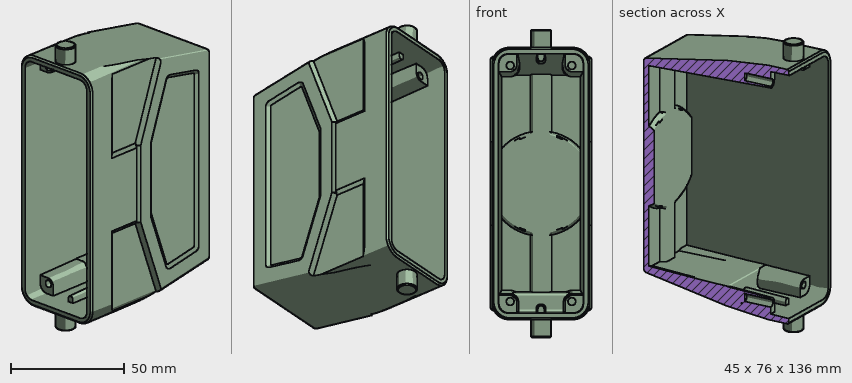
import cadquery as cq
import math


DEPTH = 76.0
HALF_HEIGHT = 60.1
BODY_HALF_WIDTH = 21.6
BODY_LENGTH = 54.4
CORNER_RADIUS = 7.8
MOUTH_CHAMFER = 0.8
SHOULDER_Y = 11.2
KINK_Y = 32.4
KINK_HALF_HEIGHT = 58.1
BACK_HALF_HEIGHT = 50.5

HOOD_HALF_WIDTH = 45.0 / 2
HOOD_FILLET = 1.9
HOOD_FRONT_Y = 30.7
HOOD_FRONT_HALF_HEIGHT = 18.5
HOOD_SLANT = 9.5 / 26.2
BORDER_WIDTH = 1.5

WINDOW_FRONT_Y = 12.9
WINDOW_LOW_Z = 17.5
WINDOW_FLOOR_X = 20.4
WINDOW_FLOOR_FLAT_Z = 55.2
WINDOW_FLOOR_RADIUS = 5.5
RECESS_WALL_ANGLE = 55
PANEL_DEPTH = 1.2
PANEL_CORNER_RADIUS = 2.6
PANEL_OUTLINE = [(68.1, 43.2), (47.7, 46.9), (37.1, 17.7)]

PIN_DIAMETER = 9.0
PIN_Y = 6.3
PIN_TIP_Z = 68.0
PIN_CHAMFER = 0.5

MOUTH_HALF_WIDTH = 18.8
MOUTH_HALF_HEIGHT = 57.3
CAVITY_CORNER_RADIUS = 4.2
SIDE_DRAFT = 1.1
FLOOR_Y = 73.0
LEDGE_Y = 31.3
LEDGE_FILLET = 1.8
UPPER_END_WALL = [(0, MOUTH_HALF_HEIGHT), (21.8, 56.8), (FLOOR_Y, 47.9)]
LOWER_END_WALL = [(0, -MOUTH_HALF_HEIGHT), (LEDGE_Y, -56.6), (LEDGE_Y, -48.4), (FLOOR_Y, -47.9)]

PLATEAU_HEIGHT = 2.7
DISC_RADIUS = 23.3
SPINE_HALF_WIDTH = 4.8
PLATEAU_DRAFT = 23
PLATEAU_FILLET = 0.7

INSERT_Y = 9.5
INSERT_DRAFT = 2.0
BOSS_INNER_X = 10.6
BOSS_INNER_Z = 49.4
BOSS_CORNER_RADIUS = 3.3
SCREW_X = 13.6
SCREW_Z = 52.1
SCREW_DIAMETER = 3.4
SCREW_DEPTH = 13.6
RIB_HALF_WIDTH = 1.4
RIB_TOP_Z = 54.0

MARGIN = 13.6
TOLERANCE = 0.01


def mirrored_outline(upper_points):
    """Close an outline of (Y, Z) points by reflecting them about Z = 0."""
    return upper_points + [(y, -z) for y, z in reversed(upper_points)]


def both_sides(solid):
    """Join a solid with its reflection in the plane X = 0."""
    return solid.union(solid.mirror("YZ"))


def at_depth(y):
    """Select what lies wholly at one distance from the mouth."""
    reach = PIN_TIP_Z + MARGIN
    return cq.selectors.BoxSelector(
        (-reach, y - TOLERANCE, -reach), (reach, y + TOLERANCE, reach), boundingbox=True
    )


def side_prism(points, half_width):
    """Extrude a (Y, Z) outline along X, centred on X = 0."""
    base = cq.Workplane("YZ", origin=(-half_width, 0, 0))
    return base.polyline(points).close().extrude(2 * half_width)


def make_body():
    tube = (
        cq.Workplane("ZX")
        .rect(2 * HALF_HEIGHT, 2 * BODY_HALF_WIDTH)
        .extrude(BODY_LENGTH)
        .edges("|Y").fillet(CORNER_RADIUS)
        .faces("<Y").chamfer(MOUTH_CHAMFER)
    )
    profile = mirrored_outline([
        (0, HALF_HEIGHT),
        (SHOULDER_Y, HALF_HEIGHT),
        (KINK_Y, KINK_HALF_HEIGHT),
        (DEPTH, BACK_HALF_HEIGHT),
    ])
    return tube.intersect(side_prism(profile, HOOD_HALF_WIDTH))


def make_windows():
    """Recess tools with sloping walls and floors rounded off at the outer end."""
    overlap = WINDOW_FLOOR_RADIUS / 2
    tool_depth = BODY_HALF_WIDTH - WINDOW_FLOOR_X + overlap
    tool_length = DEPTH - WINDOW_FRONT_Y
    tool_height = HALF_HEIGHT + MARGIN - WINDOW_LOW_Z
    upper = (
        cq.Workplane("YZ", origin=(BODY_HALF_WIDTH, WINDOW_FRONT_Y, WINDOW_LOW_Z))
        .rect(tool_length, tool_height, centered=False)
        .extrude(-tool_depth, taper=RECESS_WALL_ANGLE)
    )
    floor_core = (
        cq.Workplane("ZX")
        .rect(2 * (WINDOW_FLOOR_FLAT_Z + WINDOW_FLOOR_RADIUS), 2 * WINDOW_FLOOR_X)
        .extrude(DEPTH)
        .edges("|Y").fillet(WINDOW_FLOOR_RADIUS)
    )
    pair = upper.union(upper.mirror("XY"))
    return both_sides(pair.cut(floor_core))


def hood_outline(forward):
    """Area behind the hood border, with the border moved toward the mouth."""
    slant_shift = forward * math.hypot(1, HOOD_SLANT)
    front_y = HOOD_FRONT_Y - forward
    front_z = HOOD_FRONT_HALF_HEIGHT + (slant_shift - forward) / HOOD_SLANT
    top_z = HALF_HEIGHT + MARGIN
    top_y = front_y + HOOD_SLANT * (top_z - front_z)
    back_y = DEPTH + MARGIN
    return mirrored_outline([(front_y, front_z), (top_y, top_z), (back_y, top_z)])


def make_hood():
    steepness = (KINK_HALF_HEIGHT - BACK_HALF_HEIGHT) / (DEPTH - KINK_Y)
    start_y = HOOD_FRONT_Y - MARGIN
    start_z = BACK_HALF_HEIGHT + steepness * (DEPTH - start_y)
    slab = side_prism(
        mirrored_outline([(start_y, start_z), (DEPTH, BACK_HALF_HEIGHT)]), HOOD_HALF_WIDTH
    ).edges().fillet(HOOD_FILLET)

    toe = hood_outline(BORDER_WIDTH)
    step = HOOD_HALF_WIDTH - WINDOW_FLOOR_X
    flank = (
        cq.Workplane("YZ", origin=(WINDOW_FLOOR_X, 0, 0))
        .polyline(toe).close()
        .workplane(offset=step)
        .polyline(hood_outline(0)).close()
        .loft(ruled=True)
    )
    hood = slab.intersect(side_prism(toe, WINDOW_FLOOR_X).union(both_sides(flank)))

    ramp = (
        cq.Workplane("XY", origin=(0, 0, -HOOD_FRONT_HALF_HEIGHT))
        .moveTo(BODY_HALF_WIDTH, HOOD_FRONT_Y - BORDER_WIDTH)
        .lineTo(HOOD_HALF_WIDTH, HOOD_FRONT_Y)
        .lineTo(BODY_HALF_WIDTH - MOUTH_CHAMFER, HOOD_FRONT_Y)
        .lineTo(BODY_HALF_WIDTH - MOUTH_CHAMFER, HOOD_FRONT_Y - BORDER_WIDTH)
        .close()
        .extrude(2 * HOOD_FRONT_HALF_HEIGHT)
    )
    return hood.union(both_sides(ramp))


def make_panels():
    outline = mirrored_outline(PANEL_OUTLINE)
    sketch = (
        cq.Sketch()
        .polygon(outline + outline[:1])
        .vertices("not <X")
        .fillet(PANEL_CORNER_RADIUS)
    )
    panel = (
        cq.Workplane("YZ", origin=(HOOD_HALF_WIDTH, 0, 0))
        .placeSketch(sketch)
        .extrude(-PANEL_DEPTH, taper=RECESS_WALL_ANGLE)
    )
    return both_sides(panel)


def make_pins():
    pin = (
        cq.Workplane("XY", origin=(0, PIN_Y, MOUTH_HALF_HEIGHT))
        .circle(PIN_DIAMETER / 2)
        .extrude(PIN_TIP_Z - MOUTH_HALF_HEIGHT)
        .faces(">Z").chamfer(PIN_CHAMFER)
    )
    return pin.union(pin.mirror("XY"))


def make_plateau():
    footprint = (
        cq.Sketch()
        .circle(DISC_RADIUS)
        .rect(2 * SPINE_HALF_WIDTH, 2 * HALF_HEIGHT)
        .clean()
    )
    return (
        cq.Workplane("XZ", origin=(0, FLOOR_Y, 0))
        .placeSketch(footprint)
        .extrude(PLATEAU_HEIGHT, taper=PLATEAU_DRAFT)
        .faces("<Y").edges().fillet(PLATEAU_FILLET)
    )


def make_inserts():
    """Four screw bosses and two end ribs, growing slightly toward the back."""
    length = DEPTH - INSERT_Y
    base = cq.Workplane("ZX", origin=(0, INSERT_Y, 0))
    boss_section = cq.Sketch().rect(MARGIN, MARGIN).vertices().fillet(BOSS_CORNER_RADIUS)
    boss = (
        base.center(BOSS_INNER_Z + MARGIN / 2, BOSS_INNER_X + MARGIN / 2)
        .placeSketch(boss_section)
        .extrude(length, taper=-INSERT_DRAFT)
    )
    screw_hole = (
        base.center(SCREW_Z, SCREW_X).circle(SCREW_DIAMETER / 2).extrude(SCREW_DEPTH)
    )
    rib = (
        base.center(RIB_TOP_Z + MARGIN / 2, 0)
        .slot2D(MARGIN, 2 * RIB_HALF_WIDTH)
        .extrude(length, taper=-INSERT_DRAFT)
    )
    upper = both_sides(boss.cut(screw_hole)).union(rib)
    return upper.union(upper.mirror("XY"))


def make_cavity():
    mouth = (
        cq.Sketch()
        .rect(2 * MOUTH_HALF_HEIGHT, 2 * MOUTH_HALF_WIDTH)
        .vertices().fillet(CAVITY_CORNER_RADIUS)
    )
    cavity = (
        cq.Workplane("ZX")
        .placeSketch(mouth)
        .extrude(FLOOR_Y, taper=SIDE_DRAFT)
    )
    end_walls = side_prism(UPPER_END_WALL + LOWER_END_WALL[::-1], HOOD_HALF_WIDTH)
    end_walls = end_walls.edges("|X").edges(at_depth(LEDGE_Y)).fillet(LEDGE_FILLET)
    return cavity.intersect(end_walls).cut(make_inserts()).cut(make_plateau())


shell = make_body().cut(make_windows()).union(make_hood()).cut(make_panels())
result = shell.union(make_pins()).cut(make_cavity())